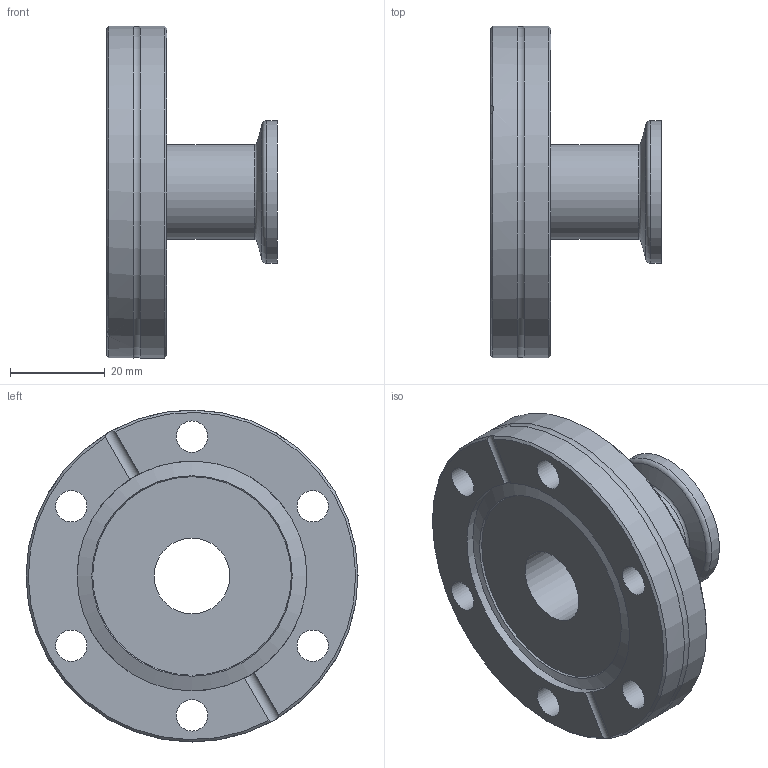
import cadquery as cq
import math


total_length = 36.0
bore_radius = 8.0
tube_radius = 10.0

flange_radius = 34.95
flange_thickness = 12.7
rim_chamfer = 0.5
rim_groove_width = 1.45
rim_groove_depth = 0.2

recess_radius = 24.2
knife_radius = 21.1
knife_setback = 0.65
knife_outer_slope = math.radians(20)
inner_face_setback = 1.1
inner_wall_run = 0.2

bolt_count = 6
bolt_circle_radius = 29.35
bolt_hole_diameter = 6.6

leak_groove_count = 2
leak_groove_radius = 1.35
leak_groove_depth = 0.65
leak_groove_angle = 30.0

clamp_radius = 15.0
clamp_rim_width = 3.07
clamp_cone_slope = math.radians(15)
clamp_edge_radius = 1.0
neck_radius = 0.6


def revolve_profile(profile):
    """Turn a closed (x, radius) profile a full revolution about the X axis."""
    return profile.close().revolve(360, (0, 0, 0), (1, 0, 0))


def bolted_flange():
    """Disc with chamfered edges and a shallow rounded groove around its rim."""
    groove_middle = flange_thickness / 2
    groove_start = groove_middle - rim_groove_width / 2
    groove_end = groove_middle + rim_groove_width / 2
    chamfer_radius = flange_radius - rim_chamfer
    profile = (
        cq.Workplane("XY")
        .moveTo(0, 0)
        .lineTo(0, chamfer_radius)
        .lineTo(rim_chamfer, flange_radius)
        .lineTo(groove_start, flange_radius)
        .threePointArc((groove_middle, flange_radius - rim_groove_depth), (groove_end, flange_radius))
        .lineTo(flange_thickness - rim_chamfer, flange_radius)
        .lineTo(flange_thickness, chamfer_radius)
        .lineTo(flange_thickness, 0)
    )
    return revolve_profile(profile)


def tube_and_clamp():
    """Tube rooted in the bolted flange, with a conical clamp flange of rounded neck and edge."""
    half_turn = (math.pi / 2 - clamp_cone_slope) / 2
    rim_corner_x = total_length - clamp_rim_width
    neck_corner_x = rim_corner_x - (clamp_radius - tube_radius) * math.tan(clamp_cone_slope)
    neck_setback = neck_radius * math.tan(half_turn)
    edge_setback = clamp_edge_radius * math.tan(half_turn)
    cone_dx = math.sin(clamp_cone_slope)
    cone_dr = math.cos(clamp_cone_slope)
    neck_start_x = neck_corner_x - neck_setback
    edge_end_x = rim_corner_x + edge_setback
    profile = (
        cq.Workplane("XY")
        .moveTo(flange_thickness / 2, 0)
        .lineTo(flange_thickness / 2, tube_radius)
        .lineTo(neck_start_x, tube_radius)
        .threePointArc(
            (
                neck_start_x + neck_radius * math.sin(half_turn),
                tube_radius + neck_radius * (1 - math.cos(half_turn)),
            ),
            (neck_corner_x + neck_setback * cone_dx, tube_radius + neck_setback * cone_dr),
        )
        .lineTo(rim_corner_x - edge_setback * cone_dx, clamp_radius - edge_setback * cone_dr)
        .threePointArc(
            (
                edge_end_x - clamp_edge_radius * math.sin(half_turn),
                clamp_radius - clamp_edge_radius * (1 - math.cos(half_turn)),
            ),
            (edge_end_x, clamp_radius),
        )
        .lineTo(total_length, clamp_radius)
        .lineTo(total_length, 0)
    )
    return revolve_profile(profile)


def seal_recess():
    """Space removed from the sealing face, leaving the knife edge standing in it."""
    cone_depth = (recess_radius - knife_radius) * math.tan(knife_outer_slope)
    profile = (
        cq.Workplane("XY")
        .moveTo(0, 0)
        .lineTo(0, recess_radius)
        .lineTo(knife_setback + cone_depth, recess_radius)
        .lineTo(knife_setback, knife_radius)
        .lineTo(inner_face_setback, knife_radius - inner_wall_run)
        .lineTo(inner_face_setback, 0)
    )
    return revolve_profile(profile)


def bore():
    return cq.Workplane("YZ").circle(bore_radius).extrude(total_length)


def bolt_holes():
    return (
        cq.Workplane("YZ")
        .polarArray(bolt_circle_radius, 90, 360, bolt_count)
        .circle(bolt_hole_diameter / 2)
        .extrude(flange_thickness)
    )


def leak_groove(index):
    """Round-bottomed radial groove from the seal recess out through the rim."""
    start = (recess_radius + knife_radius) / 2
    angle = leak_groove_angle + index * 360 / leak_groove_count
    return (
        cq.Workplane("XY", origin=(leak_groove_depth - leak_groove_radius, 0, start))
        .circle(leak_groove_radius)
        .extrude(flange_radius)
        .rotate((0, 0, 0), (1, 0, 0), -angle)
    )


body = bolted_flange().union(tube_and_clamp())
body = body.cut(seal_recess()).cut(bore()).cut(bolt_holes())
for groove_index in range(leak_groove_count):
    body = body.cut(leak_groove(groove_index))

result = body